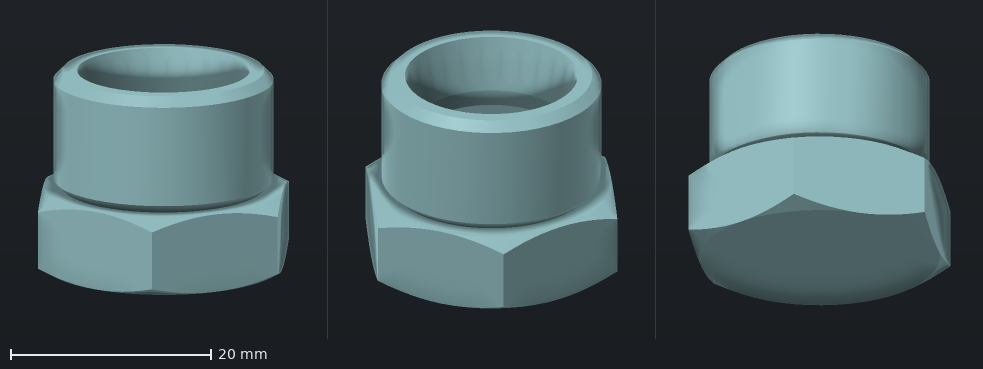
import cadquery as cq
import math

hex_across_corners = 27.7
hex_height = 8.0
total_height = 20.0
hex_chamfer_angle = 30.0

spigot_diameter = 22.0
spigot_chamfer = 0.95
neck_chamfer = 0.9

seat_mouth_diameter = 17.3
bore_diameter = 15.0
seat_half_angle = 12.0
bore_depth = 7.0

corner_radius = hex_across_corners / 2
flat_radius = corner_radius * math.cos(math.radians(30))
hex_chamfer_drop = (corner_radius - flat_radius) * math.tan(math.radians(hex_chamfer_angle))
spigot_radius = spigot_diameter / 2
mouth_radius = seat_mouth_diameter / 2
bore_radius = bore_diameter / 2
seat_depth = (mouth_radius - bore_radius) / math.tan(math.radians(seat_half_angle))


def revolve_profile(points):
    """Turn a closed (radius, height) outline around the Z axis."""
    return cq.Workplane("XZ").polyline(points).close().revolve(360, (0, 0, 0), (0, 1, 0))


def make_hex_head():
    """Hexagon with corners on the Y axis, its corners chamfered at both ends."""
    hexagon = (
        cq.Workplane("XY")
        .polygon(6, hex_across_corners)
        .extrude(hex_height)
        .rotate((0, 0, 0), (0, 0, 1), 90)
    )
    chamfer_envelope = revolve_profile([
        (0, 0),
        (flat_radius, 0),
        (corner_radius, hex_chamfer_drop),
        (corner_radius, hex_height - hex_chamfer_drop),
        (flat_radius, hex_height),
        (0, hex_height),
    ])
    return hexagon.intersect(chamfer_envelope)


def make_spigot():
    """Round spigot, chamfered at its free end and narrowed where it meets the head."""
    return revolve_profile([
        (0, hex_height),
        (spigot_radius - neck_chamfer, hex_height),
        (spigot_radius, hex_height + neck_chamfer),
        (spigot_radius, total_height - spigot_chamfer),
        (spigot_radius - spigot_chamfer, total_height),
        (0, total_height),
    ])


def make_bore():
    """Blind bore: a conical seat at the mouth, then a short straight section."""
    return revolve_profile([
        (0, total_height - bore_depth),
        (bore_radius, total_height - bore_depth),
        (bore_radius, total_height - seat_depth),
        (mouth_radius, total_height),
        (0, total_height),
    ])


result = make_hex_head().union(make_spigot()).cut(make_bore())